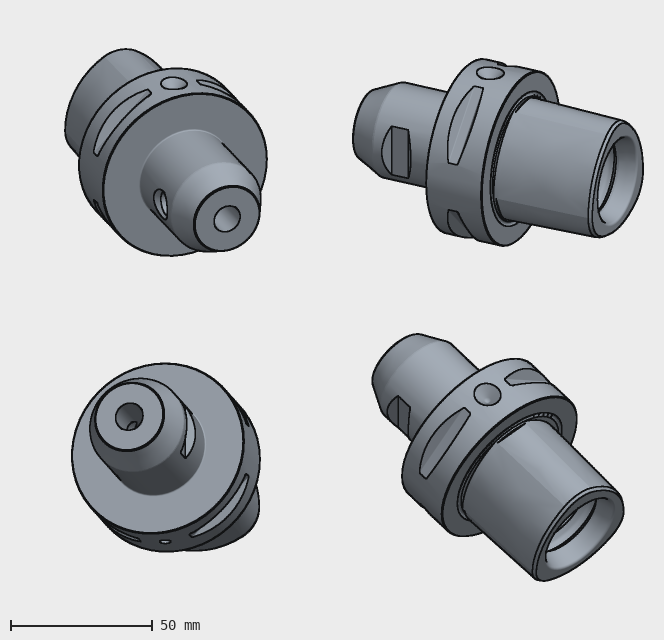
import cadquery as cq
import math


SHANK_LENGTH = 38.0
LOBE_CENTRE_RADIUS = 10.5
MEAN_RADIUS = 22.0
RADIUS_TAPER = 1.0 / 40.0
TAPER_END_X = -2.0
SHANK_CHAMFER_LENGTH = 1.25
SHANK_CHAMFER_DEPTH = 0.75

UNDERCUT_RADIUS = 22.65
UNDERCUT_OUTER_RADIUS = 24.35
UNDERCUT_CYLINDER_LENGTH = 1.0
UNDERCUT_RAMP_LENGTH = 2.4
UNDERCUT_RAMP_RISE = 1.15
UNDERCUT_DEPTH = 0.5

FLANGE_RADIUS = 63.0 / 2
FLANGE_WIDTH = 22.0
FLANGE_CHAMFER = 0.3
GRIP_X = 12.0

SLOT_COUNT = 4
SLOT_FLOOR_RADIUS = 27.85
SLOT_FLOOR_WIDTH = 3.5
SLOT_CORNER_RADIUS = 0.5
SLOT_WALL_ANGLE = 32.0

DIMPLE_RADIUS = 4.9
DIMPLE_DEPTH = 4.9

RIM_HOLE_RADIUS = 4.0 / 2
RIM_HOLE_DEPTH = 4.0

NOSE_RADIUS = 34.5 / 2
NOSE_END_X = 60.0
NOSE_ROOT_FILLET = 0.5
NOSE_CONE_START_X = 49.9
NOSE_CONE_FILLET = 1.5
NOSE_TIP_RADIUS = 12.7
NOSE_TIP_CHAMFER = 0.4

SCREW_X = 40.5
SCREW_RADIUS = 8.38 / 2
COUNTERSINK_RADIUS = 6.1
BALANCE_FLOOR_Y = 14.3
BALANCE_FLOOR_WIDTH = 6.5
BALANCE_TOP_WIDTH = 11.4

MOUTH_RADIUS = 16.47
MOUTH_ROUNDING = 1.0
MOUTH_TAPER_ANGLE = 15.0
LIP_RADIUS = 28.0 / 2
LIP_END_X = -30.5
RELIEF_RADIUS = 31.0 / 2
RELIEF_FILLET = 1.9
SOCKET_START_X = -24.7
SOCKET_RADIUS = 13.45
SOCKET_FLOOR_X = -10.0
THREAD_RADIUS = 17.84 / 2
THREAD_MOUTH_RADIUS = 20.0 / 2
THREAD_CHAMFER_ANGLE = 60.0
THREAD_LENGTH = 20.0
DRILL_TIP_ANGLE = 60.0
TOOL_BORE_RADIUS = 10.0 / 2

CLEARANCE = 1.0


def on_circle(radius, angle, centre=(0.0, 0.0)):
    return (centre[0] + radius * math.cos(angle), centre[1] + radius * math.sin(angle))


def revolve_x(profile):
    """Turn a closed (x, radius) outline about the part axis."""
    return profile.revolve(360, (0, 0, 0), (1, 0, 0))


def polygon_section(x, mean_radius):
    """Constant-width three-lobe outline in the plane X = x, with one lobe toward +Z."""
    centre_spacing = LOBE_CENTRE_RADIUS * math.sqrt(3)
    lobe_radius = mean_radius - centre_spacing / 2
    flank_radius = mean_radius + centre_spacing / 2
    half_span = math.pi / 6
    lobe_angles = [math.pi / 2 + i * 2 * math.pi / 3 for i in range(3)]
    start = on_circle(lobe_radius, lobe_angles[0] - half_span, on_circle(LOBE_CENTRE_RADIUS, lobe_angles[0]))
    outline = cq.Workplane("YZ", origin=(x, 0, 0)).moveTo(*start)
    for lobe_angle in lobe_angles:
        lobe_centre = on_circle(LOBE_CENTRE_RADIUS, lobe_angle)
        flank_angle = lobe_angle + math.pi / 3
        flank_centre = on_circle(LOBE_CENTRE_RADIUS, flank_angle + math.pi)
        outline = outline.threePointArc(
            on_circle(lobe_radius, lobe_angle, lobe_centre),
            on_circle(lobe_radius, lobe_angle + half_span, lobe_centre),
        ).threePointArc(
            on_circle(flank_radius, flank_angle, flank_centre),
            on_circle(flank_radius, flank_angle + half_span, flank_centre),
        )
    return outline.close().val()


def shank_radius(x):
    return MEAN_RADIUS + RADIUS_TAPER * (x - TAPER_END_X)


def loft_sections(first, second):
    return cq.Workplane(cq.Solid.makeLoft([first, second], True))


def make_shank():
    chamfer_x = -SHANK_LENGTH + SHANK_CHAMFER_LENGTH
    chamfer_radius = shank_radius(chamfer_x)
    taper = loft_sections(
        polygon_section(chamfer_x, chamfer_radius),
        polygon_section(TAPER_END_X, MEAN_RADIUS),
    )
    root = loft_sections(
        polygon_section(TAPER_END_X, MEAN_RADIUS),
        polygon_section(CLEARANCE, MEAN_RADIUS),
    )
    lead_in = loft_sections(
        polygon_section(-SHANK_LENGTH, chamfer_radius - SHANK_CHAMFER_DEPTH),
        polygon_section(chamfer_x, chamfer_radius),
    )
    return taper.union(lead_in).union(root)


def make_flange_and_nose():
    nose_tip_x = NOSE_END_X - NOSE_TIP_CHAMFER
    fillet_middle = NOSE_ROOT_FILLET * (1 - math.sqrt(0.5))
    profile = (
        cq.Workplane("XY")
        .moveTo(0, 0)
        .lineTo(0, FLANGE_RADIUS - FLANGE_CHAMFER)
        .lineTo(FLANGE_CHAMFER, FLANGE_RADIUS)
        .lineTo(FLANGE_WIDTH - FLANGE_CHAMFER, FLANGE_RADIUS)
        .lineTo(FLANGE_WIDTH, FLANGE_RADIUS - FLANGE_CHAMFER)
        .lineTo(FLANGE_WIDTH, NOSE_RADIUS + NOSE_ROOT_FILLET)
        .threePointArc(
            (FLANGE_WIDTH + fillet_middle, NOSE_RADIUS + fillet_middle),
            (FLANGE_WIDTH + NOSE_ROOT_FILLET, NOSE_RADIUS),
        )
        .lineTo(NOSE_CONE_START_X, NOSE_RADIUS)
        .lineTo(nose_tip_x, NOSE_TIP_RADIUS)
        .lineTo(NOSE_END_X, NOSE_TIP_RADIUS - NOSE_TIP_CHAMFER)
        .lineTo(NOSE_END_X, 0)
        .close()
    )
    body = revolve_x(profile)
    cone_edge = cq.selectors.BoxSelector(
        (NOSE_CONE_START_X - CLEARANCE, -CLEARANCE, -CLEARANCE),
        (NOSE_CONE_START_X + CLEARANCE, CLEARANCE, CLEARANCE),
    )
    return body.edges(cone_edge).fillet(NOSE_CONE_FILLET)


def make_undercut():
    """Ring that trims the lobe roots and cuts a rounded groove into the flange face."""
    groove_middle_radius = (UNDERCUT_RADIUS + UNDERCUT_OUTER_RADIUS) / 2
    profile = (
        cq.Workplane("XY")
        .moveTo(0, UNDERCUT_RADIUS)
        .threePointArc((UNDERCUT_DEPTH, groove_middle_radius), (0, UNDERCUT_OUTER_RADIUS))
        .lineTo(-UNDERCUT_RAMP_LENGTH, UNDERCUT_RADIUS + UNDERCUT_RAMP_RISE)
        .lineTo(-UNDERCUT_CYLINDER_LENGTH, UNDERCUT_RADIUS)
        .close()
    )
    return revolve_x(profile)


def make_gripper_slots():
    height = FLANGE_RADIUS + CLEARANCE - SLOT_FLOOR_RADIUS
    half_floor = SLOT_FLOOR_WIDTH / 2
    half_top = half_floor + height * math.tan(math.radians(SLOT_WALL_ANGLE))
    slot = (
        cq.Workplane("XZ")
        .polyline([
            (GRIP_X - half_floor, SLOT_FLOOR_RADIUS),
            (GRIP_X + half_floor, SLOT_FLOOR_RADIUS),
            (GRIP_X + half_top, SLOT_FLOOR_RADIUS + height),
            (GRIP_X - half_top, SLOT_FLOOR_RADIUS + height),
        ])
        .close()
        .extrude(FLANGE_RADIUS, both=True)
        .edges("|Y and <Z")
        .fillet(SLOT_CORNER_RADIUS)
    )
    pitch = 360.0 / SLOT_COUNT
    slots = cq.Workplane("XY")
    for i in range(SLOT_COUNT):
        slots = slots.add(slot.rotate((0, 0, 0), (1, 0, 0), (i + 0.5) * pitch))
    return slots.combine()


def make_index_dimple():
    tip = cq.Vector(GRIP_X, 0, FLANGE_RADIUS - DIMPLE_DEPTH)
    overrun_ratio = (DIMPLE_DEPTH + CLEARANCE) / DIMPLE_DEPTH
    return cq.Workplane(
        cq.Solid.makeCone(0, DIMPLE_RADIUS * overrun_ratio, DIMPLE_DEPTH + CLEARANCE, tip, cq.Vector(0, 0, 1))
    )


def make_rim_hole():
    floor = cq.Vector(GRIP_X, 0, -FLANGE_RADIUS + RIM_HOLE_DEPTH)
    return cq.Workplane(
        cq.Solid.makeCylinder(RIM_HOLE_RADIUS, RIM_HOLE_DEPTH + CLEARANCE, floor, cq.Vector(0, 0, -1))
    )


def make_screw_hole():
    """Radial hole from -Y down to the axis, with a 45 degree countersink."""
    mouth = cq.Vector(SCREW_X, -NOSE_RADIUS - CLEARANCE, 0)
    inward = cq.Vector(0, 1, 0)
    mouth_radius = COUNTERSINK_RADIUS + CLEARANCE
    hole = cq.Solid.makeCylinder(SCREW_RADIUS, NOSE_RADIUS + CLEARANCE, mouth, inward)
    countersink = cq.Solid.makeCone(
        mouth_radius, SCREW_RADIUS, mouth_radius - SCREW_RADIUS, mouth, inward
    )
    return cq.Workplane(hole).union(cq.Workplane(countersink))


def make_balance_slot():
    half_floor = BALANCE_FLOOR_WIDTH / 2
    half_top = BALANCE_TOP_WIDTH / 2
    return (
        cq.Workplane("XY")
        .polyline([
            (SCREW_X - half_floor, BALANCE_FLOOR_Y),
            (SCREW_X + half_floor, BALANCE_FLOOR_Y),
            (SCREW_X + half_top, NOSE_RADIUS),
            (SCREW_X - half_top, NOSE_RADIUS),
        ])
        .close()
        .extrude(NOSE_RADIUS, both=True)
    )


def make_bore():
    taper_angle = math.radians(MOUTH_TAPER_ANGLE)
    mouth_centre = (-SHANK_LENGTH + MOUTH_ROUNDING, MOUTH_RADIUS)
    taper_normal = 1.5 * math.pi - taper_angle
    taper_start = on_circle(MOUTH_ROUNDING, taper_normal, mouth_centre)
    lip_start_x = taper_start[0] + (taper_start[1] - LIP_RADIUS) / math.tan(taper_angle)

    relief_depth = RELIEF_RADIUS - LIP_RADIUS
    relief_corner_x = SOCKET_START_X - (RELIEF_RADIUS - SOCKET_RADIUS)
    fillet_start_x = relief_corner_x - RELIEF_FILLET * math.tan(math.pi / 8)
    fillet_centre = (fillet_start_x, RELIEF_RADIUS - RELIEF_FILLET)

    thread_chamfer = (THREAD_MOUTH_RADIUS - THREAD_RADIUS) / math.tan(math.radians(THREAD_CHAMFER_ANGLE))
    tip_x = SOCKET_FLOOR_X + THREAD_LENGTH
    tool_bore_x = tip_x + (THREAD_RADIUS - TOOL_BORE_RADIUS) / math.tan(math.radians(DRILL_TIP_ANGLE))

    profile = (
        cq.Workplane("XY")
        .moveTo(-SHANK_LENGTH, 0)
        .lineTo(-SHANK_LENGTH, MOUTH_RADIUS)
        .threePointArc(on_circle(MOUTH_ROUNDING, (math.pi + taper_normal) / 2, mouth_centre), taper_start)
        .lineTo(lip_start_x, LIP_RADIUS)
        .lineTo(LIP_END_X, LIP_RADIUS)
        .lineTo(LIP_END_X + relief_depth, RELIEF_RADIUS)
        .lineTo(fillet_start_x, RELIEF_RADIUS)
        .threePointArc(
            on_circle(RELIEF_FILLET, math.pi * 3 / 8, fillet_centre),
            on_circle(RELIEF_FILLET, math.pi / 4, fillet_centre),
        )
        .lineTo(SOCKET_START_X, SOCKET_RADIUS)
        .lineTo(SOCKET_FLOOR_X, SOCKET_RADIUS)
        .lineTo(SOCKET_FLOOR_X, THREAD_MOUTH_RADIUS)
        .lineTo(SOCKET_FLOOR_X + thread_chamfer, THREAD_RADIUS)
        .lineTo(tip_x, THREAD_RADIUS)
        .lineTo(tool_bore_x, TOOL_BORE_RADIUS)
        .lineTo(NOSE_END_X, TOOL_BORE_RADIUS)
        .lineTo(NOSE_END_X, 0)
        .close()
    )
    return revolve_x(profile)


result = (
    make_flange_and_nose()
    .union(make_shank())
    .cut(make_undercut())
    .cut(make_gripper_slots())
    .cut(make_index_dimple())
    .cut(make_rim_hole())
    .cut(make_screw_hole())
    .cut(make_balance_slot())
    .cut(make_bore())
)